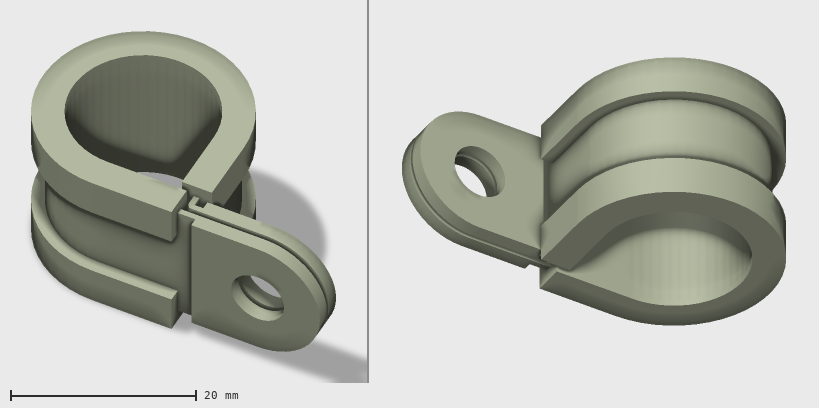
import cadquery as cq

ring_radius = 12.1
bore_radius = 8.5
cushion_width = 18.0
upper_leg_end = -7.55
lower_leg_end = 9.55

groove_width = 8.92
strap_radius = 10.6
strap_thickness = 0.65
strap_width = 15.0
bend_radius = 0.65

overall_length = 39.3
tab_start = 11.67
tab_thickness = 1.65
tab_gap = 0.55
hole_diameter = 6.35

strap_inner_radius = strap_radius - strap_thickness
tab_tip = overall_length - ring_radius
tab_radius = strap_width / 2
hole_x = tab_tip - tab_radius
lower_tab_top = -strap_inner_radius
upper_tab_bottom = lower_tab_top + tab_gap


def box(x_range, y_range, width):
    """Block spanning the given X and Y ranges, centred on Z = 0."""
    length = x_range[1] - x_range[0]
    depth = y_range[1] - y_range[0]
    centre = (sum(x_range) / 2, sum(y_range) / 2, 0)
    return cq.Workplane("XY").box(length, depth, width).translate(centre)


def loop(outer, inner, width):
    """Open loop: ring with its +X, -Y quadrant replaced by two tangent legs."""
    base = cq.Workplane("XY", origin=(0, 0, -width / 2))
    ring = base.circle(outer).circle(inner).extrude(width)
    ring = ring.cut(box((0, outer), (-outer, 0), width))
    upper_leg = box((inner, outer), (upper_leg_end, 0), width)
    lower_leg = box((0, lower_leg_end), (-outer, -inner), width)
    return ring.union(upper_leg).union(lower_leg)


def tab(bottom):
    """Rounded ear with a bolt hole, its lower face at Y = bottom."""
    ear = box((tab_start, hole_x), (bottom, bottom + tab_thickness), strap_width)
    face = cq.Workplane("XZ", origin=(hole_x, bottom, 0))
    ear = ear.union(face.circle(tab_radius).extrude(-tab_thickness))
    return ear.cut(face.circle(hole_diameter / 2).extrude(-tab_thickness))


def upper_link():
    """Bent strap from the upper leg to the upper tab."""
    strap_top = upper_tab_bottom + strap_thickness
    upright = box((strap_inner_radius, strap_radius), (upper_tab_bottom, upper_leg_end), strap_width)
    flat = box((strap_inner_radius, tab_start), (upper_tab_bottom, strap_top), strap_width)
    return upright.union(flat).edges("|Z and <X and <Y").fillet(bend_radius)


def lower_link():
    """Straight strap from the lower leg to the lower tab."""
    return box((lower_leg_end, tab_start), (-strap_radius, lower_tab_top), strap_width)


cushion = loop(ring_radius, bore_radius, cushion_width)
groove = loop(ring_radius, strap_radius, groove_width)

result = (
    cushion.cut(groove)
    .union(upper_link())
    .union(lower_link())
    .union(tab(upper_tab_bottom))
    .union(tab(lower_tab_top - tab_thickness))
    .clean()
)